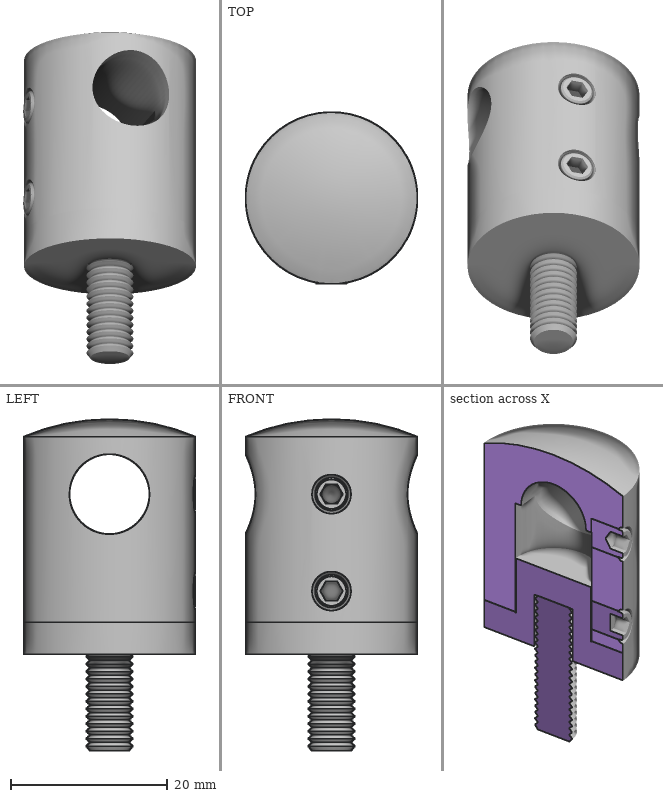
import cadquery as cq
import math

post_diameter = 22.0
post_radius = post_diameter / 2
base_height = 4.1
dome_rim_z = 27.85
dome_radius = 28.0
dome_height = dome_radius - math.sqrt(dome_radius**2 - post_radius**2)
post_height = dome_rim_z + dome_height

cross_bore_diameter = 10.2
cross_bore_z = 20.5

socket_diameter = 12.0
spigot_diameter = 11.9
spigot_top_z = 12.3

screw_diameter = 4.2
screw_length = post_radius - socket_diameter / 2
screw_face_diameter = 3.75
screw_chamfer = (screw_diameter - screw_face_diameter) / 2
upper_screw_z = cross_bore_z
lower_screw_z = 8.1
hex_across_flats = 2.5
hex_across_corners = hex_across_flats / math.cos(math.pi / 6)
hex_depth = 2.0
drill_point_angle = math.radians(118)
drill_point_depth = hex_across_flats / 2 / math.tan(drill_point_angle / 2)

mouth_diameter = 5.0
mouth_depth = 0.4
mouth_taper = (mouth_diameter - screw_diameter) / 2

stud_diameter = 6.0
stud_projection = 12.35
thread_depth = 0.5
thread_pitch = 0.954
thread_crest_count = 21
end_chamfer_height = 0.62
first_crest_z = -stud_projection + end_chamfer_height
stud_top_z = first_crest_z + (thread_crest_count - 0.5) * thread_pitch


def y_cylinder(diameter, y_start, length, z):
    """Cylinder along +Y on the post's middle plane."""
    return cq.Workplane(
        cq.Solid.makeCylinder(diameter / 2, length, cq.Vector(0, y_start, z), cq.Vector(0, 1, 0))
    )


def y_cone(start_diameter, end_diameter, y_start, length, z):
    """Cone along +Y on the post's middle plane."""
    return cq.Workplane(
        cq.Solid.makeCone(
            start_diameter / 2, end_diameter / 2, length, cq.Vector(0, y_start, z), cq.Vector(0, 1, 0)
        )
    )


def make_screw_hole(z):
    """Stepped hole for one set screw, from outside the housing to its socket."""
    taper_y = -post_radius + mouth_depth
    hole = y_cylinder(screw_diameter, -post_radius, screw_length, z)
    mouth = y_cylinder(mouth_diameter, -post_radius, mouth_depth, z)
    taper = y_cone(mouth_diameter, screw_diameter, taper_y, mouth_taper, z)
    return hole.union(mouth).union(taper)


def make_housing():
    """Domed cylinder with a cross bore, a bottom socket and two screw holes."""
    half_angle = math.asin(post_radius / dome_radius) / 2
    dome_mid_x = dome_radius * math.sin(half_angle)
    dome_mid_z = post_height - dome_radius * (1 - math.cos(half_angle))
    housing = (
        cq.Workplane("XZ")
        .moveTo(0, base_height)
        .lineTo(post_radius, base_height)
        .lineTo(post_radius, dome_rim_z)
        .threePointArc((dome_mid_x, dome_mid_z), (0, post_height))
        .close()
        .revolve(360, (0, 0, 0), (0, 1, 0))
    )
    cross_bore = (
        cq.Workplane("YZ")
        .center(0, cross_bore_z)
        .circle(cross_bore_diameter / 2)
        .extrude(post_radius, both=True)
    )
    socket = (
        cq.Workplane("XY", origin=(0, 0, base_height))
        .circle(socket_diameter / 2)
        .extrude(cross_bore_z - base_height)
    )
    housing = housing.cut(cross_bore).cut(socket)
    for z in (upper_screw_z, lower_screw_z):
        housing = housing.cut(make_screw_hole(z))
    return housing


def make_base():
    """Disc with a spigot on top and a blind hole for the stud below."""
    disc = cq.Workplane("XY").circle(post_radius).extrude(base_height)
    spigot = cq.Workplane("XY").circle(spigot_diameter / 2).extrude(spigot_top_z)
    stud_hole = cq.Workplane("XY").circle(stud_diameter / 2).extrude(stud_top_z)
    return disc.union(spigot).cut(stud_hole)


def make_stud():
    """Stud with a tapered lower end and evenly spaced sharp thread rings."""
    crest_radius = stud_diameter / 2
    root_radius = crest_radius - thread_depth
    profile = cq.Workplane("XZ").moveTo(0, -stud_projection).lineTo(root_radius, -stud_projection)
    for index in range(thread_crest_count):
        crest_z = first_crest_z + index * thread_pitch
        profile = profile.lineTo(crest_radius, crest_z)
        profile = profile.lineTo(root_radius, crest_z + thread_pitch / 2)
    return profile.lineTo(0, stud_top_z).close().revolve(360, (0, 0, 0), (0, 1, 0))


def make_set_screw(z, has_drill_point):
    """Set screw with a hex socket, whose floor may end in a conical drill point."""
    screw = y_cylinder(screw_diameter, -post_radius, screw_length, z)
    screw = screw.faces("<Y").chamfer(screw_chamfer)
    hex_socket = (
        cq.Workplane("XZ", origin=(0, -post_radius, z))
        .polygon(6, hex_across_corners)
        .extrude(-hex_depth)
    )
    screw = screw.cut(hex_socket)
    if has_drill_point:
        floor_y = -post_radius + hex_depth
        screw = screw.cut(y_cone(hex_across_flats, 0, floor_y, drill_point_depth, z))
    return screw


housing = make_housing()
base = make_base()
stud = make_stud()
set_screws = [
    make_set_screw(z, has_drill_point)
    for z, has_drill_point in ((upper_screw_z, True), (lower_screw_z, False))
]

result = cq.Compound.makeCompound(
    [housing.val(), base.val(), stud.val(), *[screw.val() for screw in set_screws]]
)